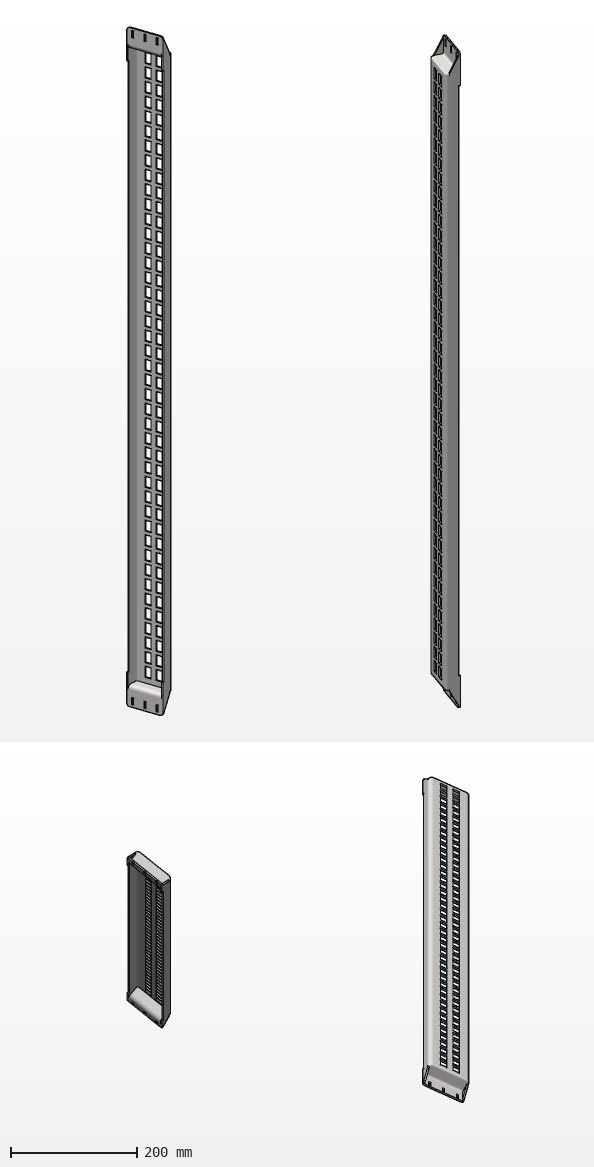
import cadquery as cq

length = 1161.0
width = 72.0
depth = 25.0
sheet = 2.9

outer_bend = 7.0
inner_bend = outer_bend - sheet
panel_end_bend = 3.0
flange_corner = 6.0

end_wall_outer = 547.0
end_wall_inner = end_wall_outer - sheet
foot_start = 522.0
gusset_tip = 576.0

back = depth / 2
front = -depth / 2
panel_front = back - sheet
flange_back = front + sheet
gusset_root = back - outer_bend
inside_width = width - 2 * sheet

slot_rows = 43
slot_field = 1050.0
slot_pitch = slot_field / (slot_rows - 1)
slot_width = 12.0
slot_height = 19.0
slot_column = 11.0

mount_width = 3.0
mount_height = 12.0
mount_spacing = 24.0
mount_centre = 570.0


def box(x_size, y_low, y_high, z_low, z_high):
    """Block centred on X between the given Y and Z limits."""
    return (
        cq.Workplane("XY", origin=(0, 0, z_low))
        .center(0, (y_low + y_high) / 2)
        .rect(x_size, y_high - y_low)
        .extrude(z_high - z_low)
    )


def edge_box(y, z):
    """Selector for the edge along X at the given Y and Z."""
    reach = 0.2
    return cq.selectors.BoxSelector((-width, y - reach, z - reach), (width, y + reach, z + reach))


def tray():
    """Solid outline between the end walls, rounded all round the back."""
    block = box(width, flange_back, back, -end_wall_outer, end_wall_outer)
    block = block.edges("|Z and >Y").fillet(outer_bend)
    return block.edges("|X and >Y").fillet(panel_end_bend)


def foot(side):
    """Solid outline of one end: gussets sloping down to a flange with rounded corners."""
    outline = [
        (front, foot_start),
        (front, length / 2),
        (flange_back, length / 2),
        (flange_back, gusset_tip),
        (gusset_root, end_wall_outer),
        (gusset_root, foot_start),
    ]
    outline = [(y, side * z) for y, z in outline]
    block = cq.Workplane("YZ").polyline(outline).close().extrude(width / 2, both=True)
    tip_corners = block.edges("|Y").edges(">Z" if side > 0 else "<Z")
    return tip_corners.fillet(flange_corner)


def front_cavity():
    """Space in front of the panel, between the side walls and the end walls."""
    cavity = box(inside_width, front - sheet, panel_front, -end_wall_inner, end_wall_inner)
    return cavity.edges("|Z and >Y").fillet(inner_bend)


def rear_cavity(side):
    """Space behind one flange, between the two gussets."""
    z_low, z_high = sorted((side * end_wall_outer, side * length))
    return box(inside_width, flange_back, back + sheet, z_low, z_high)


def panel_slots():
    """Two columns of rectangular slots through the panel."""
    return (
        cq.Workplane("XZ", origin=(0, back + sheet, 0))
        .rarray(2 * slot_column, slot_pitch, 2, slot_rows)
        .rect(slot_width, slot_height)
        .extrude(back + sheet)
    )


def mounting_slots():
    """Three narrow slots through each flange."""
    return (
        cq.Workplane("XZ")
        .pushPoints([(i * mount_spacing, side * mount_centre) for i in (-1, 0, 1) for side in (-1, 1)])
        .rect(mount_width, mount_height)
        .extrude(depth)
    )


body = tray().union(foot(1)).union(foot(-1)).cut(front_cavity())
for side in (1, -1):
    body = body.cut(rear_cavity(side))
    body = body.edges(edge_box(front, side * end_wall_inner)).fillet(outer_bend)
    body = body.edges(edge_box(flange_back, side * end_wall_outer)).fillet(inner_bend)

result = body.cut(panel_slots()).cut(mounting_slots())